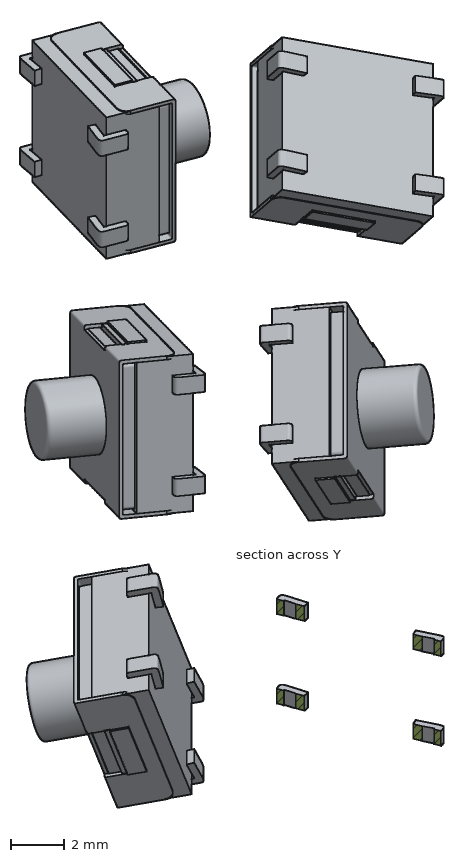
import cadquery as cq
import math


BASE_SIZE = 6.2
BASE_DEPTH = 2.21

SHEET = 0.15
COVER_OVERHANG = 0.03
COVER_FRONT = 2.9
FLAP_LENGTH = 2.27
FLAP_CORNER_RADIUS = 0.4
BEND_RADIUS = 0.1
INNER_BEND_RADIUS = 0.05
COVER_HEIGHT = BASE_SIZE + 2 * COVER_OVERHANG
PLATE_BACK = COVER_FRONT - SHEET

HOOK_WIDTH = 2.58
WINDOW_DEPTH = 0.18
HOOK_BACK = COVER_FRONT - 1.64
HOOK_FRONT = COVER_FRONT - 0.9
HOOK_TIP_SPAN = 6.4

BUTTON_RADIUS = 1.5
BUTTON_TOP = COVER_FRONT + 2.3
BUTTON_EDGE_RADIUS = 0.15
FLANGE_SIZE = 5.77
FLANGE_CORNER_RADIUS = 0.15

LEG_THICKNESS = 0.305
LEG_WIDTH = 0.68
LEG_PITCH = 4.0
LEG_TOP = 0.81
LEG_BOTTOM = -0.41
LEG_EDGE_RADIUS = 0.14
FOOT_LENGTH = 0.88
FOOT_TILT = math.radians(5)


def box(x_range, y_range, z_range):
    """Axis-aligned block between the given limits."""
    (x0, x1), (y0, y1), (z0, z1) = x_range, y_range, z_range
    return cq.Workplane("XY").box(x1 - x0, y1 - y0, z1 - z0, centered=False).translate((x0, y0, z0))


def centred(size):
    """Limits of a length centred on zero."""
    return (-size / 2, size / 2)


def make_cover():
    """U-shaped sheet with rounded flaps, hook windows and a button hole."""
    flap_back = COVER_FRONT - FLAP_LENGTH
    depth = (flap_back, COVER_FRONT)
    cover = box(centred(BASE_SIZE), depth, centred(COVER_HEIGHT)).edges("|X and >Y").fillet(BEND_RADIUS)
    inside = box(centred(BASE_SIZE), (flap_back, PLATE_BACK), centred(COVER_HEIGHT - 2 * SHEET))
    inside = inside.edges("|X and >Y").fillet(INNER_BEND_RADIUS)
    cover = cover.cut(inside)
    cover = cover.edges("|Z and <Y").fillet(FLAP_CORNER_RADIUS)
    for side in (-1, 1):
        inner, outer = sorted((side * (COVER_HEIGHT / 2 - WINDOW_DEPTH), side * COVER_HEIGHT / 2))
        window = box(centred(HOOK_WIDTH), (HOOK_BACK, COVER_FRONT), (inner, outer))
        cover = cover.cut(window)
    hole = cq.Workplane("XZ", origin=(0, COVER_FRONT, 0)).circle(BUTTON_RADIUS).extrude(SHEET)
    return cover.cut(hole)


def make_leg():
    """L-shaped terminal on the +X, +Z corner, with a foot tilted toward the base."""
    inner_x = BASE_SIZE / 2
    outer_x = inner_x + LEG_THICKNESS
    along_x, along_y = FOOT_LENGTH * math.cos(FOOT_TILT), FOOT_LENGTH * math.sin(FOOT_TILT)
    across_x, across_y = LEG_THICKNESS * math.sin(FOOT_TILT), LEG_THICKNESS * math.cos(FOOT_TILT)
    foot_end = (inner_x - along_x, LEG_BOTTOM + along_y)
    foot_tip = (foot_end[0] + across_x, foot_end[1] + across_y)
    inner_corner_y = foot_tip[1] - (inner_x - foot_tip[0]) * math.tan(FOOT_TILT)
    outline = [
        (inner_x, LEG_TOP),
        (outer_x, LEG_TOP),
        (outer_x, LEG_BOTTOM),
        (inner_x, LEG_BOTTOM),
        foot_end,
        foot_tip,
        (inner_x, inner_corner_y),
    ]
    leg_start = (LEG_PITCH - LEG_WIDTH) / 2
    leg = cq.Workplane("XY", origin=(0, 0, leg_start)).polyline(outline).close().extrude(LEG_WIDTH)
    return leg.edges("|Z and >X").fillet(LEG_EDGE_RADIUS)


def make_base(cover):
    """Block with snap hooks and four terminals, recessed for the cover flaps."""
    base = box(centred(BASE_SIZE), (0, BASE_DEPTH), centred(BASE_SIZE))
    base = base.cut(cover)
    for side in (-1, 1):
        inner, outer = sorted((side * BASE_SIZE / 2, side * HOOK_TIP_SPAN / 2))
        base = base.union(box(centred(HOOK_WIDTH), (HOOK_BACK, HOOK_FRONT), (inner, outer)))
    right_leg = make_leg()
    for leg in (right_leg, right_leg.mirror("YZ")):
        base = base.union(leg).union(leg.mirror("XY"))
    return base


def make_button():
    """Round button on a square flange held between the base and the cover."""
    flange = box(centred(FLANGE_SIZE), (BASE_DEPTH, PLATE_BACK), centred(FLANGE_SIZE))
    flange = flange.edges("|Y").fillet(FLANGE_CORNER_RADIUS)
    stem_length = BUTTON_TOP - BASE_DEPTH
    stem = cq.Workplane("XZ", origin=(0, BUTTON_TOP, 0)).circle(BUTTON_RADIUS).extrude(stem_length)
    stem = stem.faces(">Y").edges().fillet(BUTTON_EDGE_RADIUS)
    return flange.union(stem)


cover = make_cover()
base = make_base(cover)
button = make_button()

result = cq.Compound.makeCompound([body.solids().val() for body in (base, cover, button)])